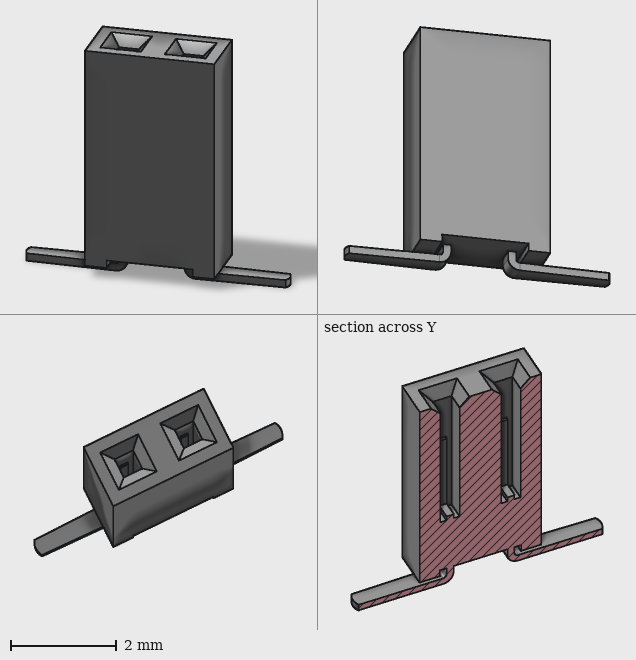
import cadquery as cq

PITCH = 1.27
CONTACT_COUNT = 2
OVERALL_LENGTH = 5.18
OVERALL_HEIGHT = 4.62

BODY_LENGTH = PITCH * CONTACT_COUNT
BODY_WIDTH = 1.27
BODY_BOTTOM = 0.225
RELIEF_LENGTH = 1.69
RELIEF_TOP = 0.375

MOUTH_SIZE = 0.8
BORE_SIZE = 0.39
FUNNEL_DEPTH = (MOUTH_SIZE - BORE_SIZE) / 2
BORE_DEPTH = 3.0

STRIP_THICKNESS = 0.155
STRIP_WIDTH = 0.39
INNER_BEND_RADIUS = 0.075
OUTER_BEND_RADIUS = INNER_BEND_RADIUS + STRIP_THICKNESS
FOOT_TIP_WIDTH = 0.325
FOOT_TIP_BULGE = 0.05

FORK_GAP = 0.325
FORK_TIP_DEPTH = 1.2
FORK_ROOT_HEIGHT = 0.1

POST_X = PITCH / 2
FOOT_TIP_X = OVERALL_LENGTH / 2
BEND_END_X = POST_X - STRIP_THICKNESS / 2 + OUTER_BEND_RADIUS
BORE_FLOOR = OVERALL_HEIGHT - BORE_DEPTH


def block(x_size, y_size, bottom, top, center_x=0):
    """Box centred on Y = 0 between two heights."""
    base = cq.Workplane("XY").workplane(offset=bottom).center(center_x, 0)
    return base.rect(x_size, y_size).extrude(top - bottom)


def make_socket(center_x):
    """Void of one socket: a pyramid funnel above a square blind bore."""
    funnel = (
        cq.Workplane("XY")
        .workplane(offset=OVERALL_HEIGHT - FUNNEL_DEPTH)
        .center(center_x, 0)
        .rect(BORE_SIZE, BORE_SIZE)
        .workplane(offset=FUNNEL_DEPTH)
        .rect(MOUTH_SIZE, MOUTH_SIZE)
        .loft(ruled=True)
    )
    bore = block(BORE_SIZE, BORE_SIZE, BORE_FLOOR, OVERALL_HEIGHT - FUNNEL_DEPTH, center_x)
    return funnel.union(bore)


def make_housing():
    housing = block(BODY_LENGTH, BODY_WIDTH, BODY_BOTTOM, OVERALL_HEIGHT)
    housing = housing.cut(block(RELIEF_LENGTH, BODY_WIDTH, BODY_BOTTOM, RELIEF_TOP))
    first_x = -PITCH * (CONTACT_COUNT - 1) / 2
    for index in range(CONTACT_COUNT):
        housing = housing.cut(make_socket(first_x + index * PITCH))
    return housing


def make_fork():
    """Part of the +X contact fork that shows inside its bore, with 45 degree finger tips."""
    half_bore = BORE_SIZE / 2
    half_gap = FORK_GAP / 2
    tip_z = OVERALL_HEIGHT - FORK_TIP_DEPTH
    lead_in_z = tip_z - (half_bore - half_gap)
    root_z = BORE_FLOOR + FORK_ROOT_HEIGHT
    return (
        cq.Workplane("YZ")
        .workplane(offset=POST_X - STRIP_THICKNESS / 2)
        .moveTo(-half_bore, BORE_FLOOR)
        .lineTo(half_bore, BORE_FLOOR)
        .lineTo(half_bore, tip_z)
        .lineTo(half_gap, lead_in_z)
        .lineTo(half_gap, root_z)
        .lineTo(-half_gap, root_z)
        .lineTo(-half_gap, lead_in_z)
        .lineTo(-half_bore, tip_z)
        .close()
        .extrude(STRIP_THICKNESS)
    )


def make_tail():
    """Post and bend of the +X contact, from the relief ceiling to the start of the foot."""
    inner_x = POST_X - STRIP_THICKNESS / 2
    outer_x = POST_X + STRIP_THICKNESS / 2
    return (
        cq.Workplane("XZ")
        .moveTo(inner_x, RELIEF_TOP)
        .lineTo(inner_x, OUTER_BEND_RADIUS)
        .radiusArc((BEND_END_X, 0), -OUTER_BEND_RADIUS)
        .lineTo(BEND_END_X, STRIP_THICKNESS)
        .radiusArc((outer_x, OUTER_BEND_RADIUS), INNER_BEND_RADIUS)
        .lineTo(outer_x, RELIEF_TOP)
        .close()
        .extrude(STRIP_WIDTH / 2, both=True)
    )


def make_foot():
    """Tapered solder foot of the +X contact with a rounded tip."""
    corner_x = FOOT_TIP_X - FOOT_TIP_BULGE
    return (
        cq.Workplane("XY")
        .moveTo(BEND_END_X, -STRIP_WIDTH / 2)
        .lineTo(corner_x, -FOOT_TIP_WIDTH / 2)
        .threePointArc((FOOT_TIP_X, 0), (corner_x, FOOT_TIP_WIDTH / 2))
        .lineTo(BEND_END_X, STRIP_WIDTH / 2)
        .close()
        .extrude(STRIP_THICKNESS)
    )


contact = make_fork().union(make_tail()).union(make_foot())
result = make_housing().union(contact).union(contact.mirror("YZ"))